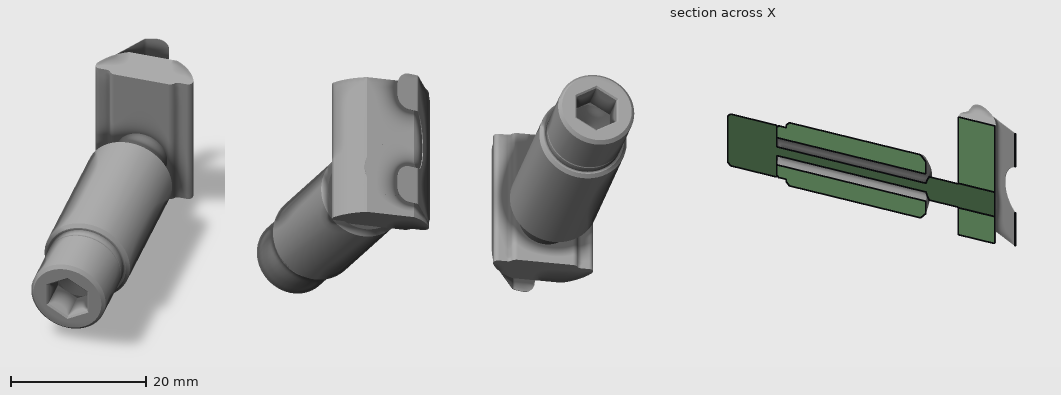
import cadquery as cq
import math


NUT_WIDTH = 15.0
NUT_DEPTH = 6.0
NUT_LENGTH = 21.0
NUT_BELOW_AXIS = 7.0
NUT_CENTER_Z = NUT_LENGTH / 2 - NUT_BELOW_AXIS
SEAT_HALF_WIDTH = 4.18
LEDGE_HEIGHT = 0.8
FLANK_ANGLE = 60.0
FLANK_OUTER_RADIUS = 0.9
LEDGE_CORNER_RADIUS = 0.7
BACK_RADIUS = 8.16
BACK_CENTER_Y = -1.27

LEAF_THICKNESS = 0.1
LEAF_LENGTH_Z = 20.0
LEAF_ANGLE = 60.0
LIP_ANGLE = 15.0
LEAF_FOOT_LENGTH = 1.05
LEAF_TIP_Y = 11.51
LIP_LENGTH = 3.6
FOOT_CORNER_RADIUS = 1.75
TIP_CORNER_RADIUS = 2.0
BEND_RADIUS = 0.5
NOTCH_RADIUS = 4.43
NOTCH_BOTTOM_Y = 7.07

HEAD_DIAMETER = 11.5
HEAD_HEIGHT = 8.0
HEAD_CHAMFER = 0.5
HEAD_END_Y = -37.2
SHANK_DIAMETER = 7.0
THREAD_DIAMETER = 8.0
SOCKET_FLATS = 6.0
SOCKET_MOUTH_FLATS = 6.5
SOCKET_DEPTH = 5.0
SOCKET_CONE_ANGLE = 60.0

SLEEVE_DIAMETER = 13.2
SLEEVE_BORE = 8.3
SLEEVE_FRONT_Y = -5.15
SLEEVE_BODY_LENGTH = 22.55
SLEEVE_FRONT_CHAMFER = 0.85
SLEEVE_REAR_CHAMFER = 0.5
SPIGOT_CHAMFER = 0.28
HEAD_SEAT_Y = HEAD_END_Y + HEAD_HEIGHT


def revolve_about_y(points):
    """Solid of revolution about Y from (radius, y) points."""
    return cq.Workplane("XY").polyline(points).close().revolve(360, (0, 0), (0, 1))


def y_cylinder(diameter, start_y, end_y):
    """Cylinder on the screw axis from start_y to a larger end_y."""
    return cq.Workplane("XZ", origin=(0, start_y, 0)).circle(diameter / 2).extrude(start_y - end_y)


def make_nut():
    half_width = NUT_WIDTH / 2
    sine = math.sin(math.radians(FLANK_ANGLE))
    cosine = math.cos(math.radians(FLANK_ANGLE))
    flank_inner_radius = LEDGE_HEIGHT / (1 - cosine) - FLANK_OUTER_RADIUS
    flank_x = SEAT_HALF_WIDTH + FLANK_OUTER_RADIUS * sine
    flank_y = FLANK_OUTER_RADIUS * (1 - cosine)
    ledge_x = flank_x + flank_inner_radius * sine
    corner_y = LEDGE_HEIGHT + LEDGE_CORNER_RADIUS
    back_start_y = BACK_CENTER_Y + math.sqrt(BACK_RADIUS**2 - half_width**2)
    back_end_x = math.sqrt(BACK_RADIUS**2 - (NUT_DEPTH - BACK_CENTER_Y) ** 2)

    half = (
        cq.Workplane("XY", origin=(0, 0, -NUT_BELOW_AXIS))
        .lineTo(SEAT_HALF_WIDTH, 0)
        .radiusArc((flank_x, flank_y), -FLANK_OUTER_RADIUS)
        .radiusArc((ledge_x, LEDGE_HEIGHT), flank_inner_radius)
        .lineTo(half_width - LEDGE_CORNER_RADIUS, LEDGE_HEIGHT)
        .radiusArc((half_width, corner_y), -LEDGE_CORNER_RADIUS)
        .lineTo(half_width, back_start_y)
        .radiusArc((back_end_x, NUT_DEPTH), -BACK_RADIUS)
        .lineTo(0, NUT_DEPTH)
        .close()
        .extrude(NUT_LENGTH)
    )
    nut = half.union(half.mirror("YZ"))
    return nut.cut(y_cylinder(THREAD_DIAMETER, 0, NUT_DEPTH))


def make_spring_leaf():
    blade = cq.Vector(math.cos(math.radians(LEAF_ANGLE)), math.sin(math.radians(LEAF_ANGLE)))
    outward = cq.Vector(-blade.y, blade.x)
    lip = cq.Vector(math.cos(math.radians(LIP_ANGLE)), math.sin(math.radians(LIP_ANGLE)))
    lip_outward = cq.Vector(-lip.y, lip.x)

    contact = cq.Vector(0, BACK_CENTER_Y) + outward * BACK_RADIUS
    foot_inner = contact - blade * LEAF_FOOT_LENGTH
    foot_outer = foot_inner + outward * LEAF_THICKNESS
    bend_y = LEAF_TIP_Y - LIP_LENGTH * lip.y
    bend_outer = foot_outer + blade * ((bend_y - foot_outer.y) / blade.y)
    tip_outer = bend_outer + lip * LIP_LENGTH
    tip_inner = tip_outer - lip_outward * LEAF_THICKNESS
    half_bend = math.radians((LEAF_ANGLE - LIP_ANGLE) / 2)
    bend_inward = (outward + lip_outward).normalized() * -1
    bend_inner = bend_outer + bend_inward * (LEAF_THICKNESS / math.cos(half_bend))

    outline = [foot_inner, foot_outer, bend_outer, tip_outer, tip_inner, bend_inner]
    leaf = (
        cq.Workplane("XY", origin=(0, 0, NUT_CENTER_Z - LEAF_LENGTH_Z / 2))
        .polyline([(p.x, p.y) for p in outline])
        .close()
        .extrude(LEAF_LENGTH_Z)
    )
    for corner, radius in ((bend_inner, BEND_RADIUS), (bend_outer, BEND_RADIUS + LEAF_THICKNESS)):
        bend_edge = cq.selectors.NearestToPointSelector((corner.x, corner.y, NUT_CENTER_Z))
        leaf = leaf.edges(bend_edge).fillet(radius)

    notch_run = 2 * NOTCH_RADIUS
    notch_bottom = foot_outer + blade * ((NOTCH_BOTTOM_Y - foot_outer.y) / blade.y)
    notch_plane = cq.Plane(
        origin=(notch_bottom.x, notch_bottom.y, NUT_CENTER_Z), xDir=blade.toTuple(), normal=outward.toTuple()
    )
    notch = (
        cq.Workplane(notch_plane)
        .center(NOTCH_RADIUS, 0)
        .circle(NOTCH_RADIUS)
        .extrude(notch_run, both=True)
        .union(
            cq.Workplane(notch_plane)
            .center(NOTCH_RADIUS + notch_run / 2, 0)
            .rect(notch_run, 2 * NOTCH_RADIUS)
            .extrude(notch_run, both=True)
        )
    )
    leaf = leaf.cut(notch)
    foot = (foot_inner + foot_outer) * 0.5
    tip = (tip_inner + tip_outer) * 0.5
    leaf = round_end(leaf, foot, FOOT_CORNER_RADIUS)
    return round_end(leaf, tip, TIP_CORNER_RADIUS)


def round_end(leaf, end, radius):
    """Fillet the short corner edges across the sheet at one end of the leaf."""
    corners = [
        edge
        for edge in leaf.edges().vals()
        if edge.Length() < 2 * LEAF_THICKNESS
        and math.hypot(edge.Center().x - end.x, edge.Center().y - end.y) < LEAF_THICKNESS
    ]
    return leaf.newObject(corners).fillet(radius)


def make_screw():
    head_radius = HEAD_DIAMETER / 2
    shank_radius = SHANK_DIAMETER / 2
    thread_radius = THREAD_DIAMETER / 2
    thread_start_y = SLEEVE_FRONT_Y + thread_radius - shank_radius
    screw = revolve_about_y(
        [
            (0, HEAD_END_Y),
            (head_radius - HEAD_CHAMFER, HEAD_END_Y),
            (head_radius, HEAD_END_Y + HEAD_CHAMFER),
            (head_radius, HEAD_SEAT_Y),
            (shank_radius, HEAD_SEAT_Y),
            (shank_radius, SLEEVE_FRONT_Y),
            (thread_radius, thread_start_y),
            (thread_radius, NUT_DEPTH),
            (0, NUT_DEPTH),
        ]
    )
    return screw.cut(make_socket())


def make_socket():
    """Hexagon socket with chamfered mouth and a conical drill point."""
    corner_factor = 1 / math.cos(math.radians(30))
    mouth_chamfer = (SOCKET_MOUTH_FLATS - SOCKET_FLATS) / 2
    bottom_y = HEAD_END_Y + SOCKET_DEPTH
    cone_radius = SOCKET_FLATS / 2
    cone_height = cone_radius / math.tan(math.radians(SOCKET_CONE_ANGLE))

    def hexagon(flats):
        plane = cq.Workplane("XZ", origin=(0, HEAD_END_Y, 0)).transformed(rotate=(0, 0, 90))
        return plane.polygon(6, flats * corner_factor)

    mouth = hexagon(SOCKET_MOUTH_FLATS).workplane(offset=-mouth_chamfer)
    mouth = mouth.polygon(6, SOCKET_FLATS * corner_factor).loft()
    hole = hexagon(SOCKET_FLATS).extrude(-SOCKET_DEPTH)
    drill_point = revolve_about_y([(0, bottom_y), (cone_radius, bottom_y), (0, bottom_y + cone_height)])
    return hole.union(mouth).union(drill_point)


def make_sleeve():
    outer_radius = SLEEVE_DIAMETER / 2
    bore_radius = SLEEVE_BORE / 2
    spigot_radius = HEAD_DIAMETER / 2
    body_rear_y = SLEEVE_FRONT_Y - SLEEVE_BODY_LENGTH
    return revolve_about_y(
        [
            (bore_radius, HEAD_SEAT_Y),
            (spigot_radius - SPIGOT_CHAMFER, HEAD_SEAT_Y),
            (spigot_radius, HEAD_SEAT_Y + SPIGOT_CHAMFER),
            (spigot_radius, body_rear_y),
            (outer_radius - SLEEVE_REAR_CHAMFER, body_rear_y),
            (outer_radius, body_rear_y + SLEEVE_REAR_CHAMFER),
            (outer_radius, SLEEVE_FRONT_Y - SLEEVE_FRONT_CHAMFER),
            (outer_radius - SLEEVE_FRONT_CHAMFER, SLEEVE_FRONT_Y),
            (bore_radius, SLEEVE_FRONT_Y),
        ]
    )


nut = make_nut()
spring_leaf = make_spring_leaf()
screw = make_screw()
sleeve = make_sleeve()

result = cq.Compound.makeCompound([nut.val(), spring_leaf.val(), screw.val(), sleeve.val()])